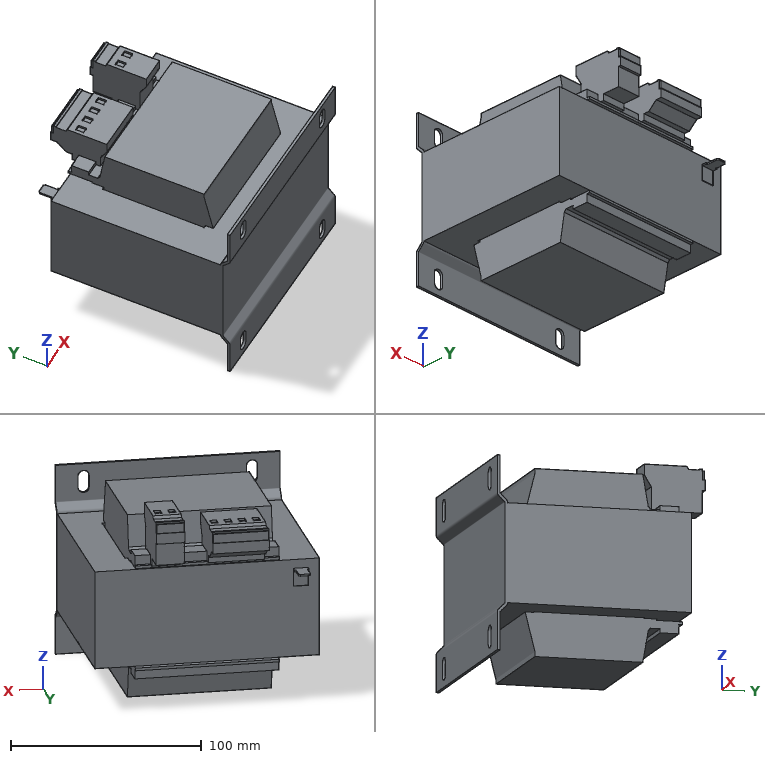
import cadquery as cq
import math


CORE_WIDTH = 120.0
CORE_LENGTH = 100.0
CORE_HEIGHT = 53.4
LEG_WIDTH = 20.0
CORE_TOP = CORE_HEIGHT / 2

PLATE_THICKNESS = 1.6
BEND_INNER_RADIUS = 0.5
FLANGE_SETBACK = 4.1
FLANGE_REACH = 52.0
SLOT_LENGTH = 12.0
SLOT_WIDTH = 6.0
SLOT_X = 45.0
SLOT_Z = 42.2

CORE_FRONT = FLANGE_SETBACK + PLATE_THICKNESS
CORE_BACK = CORE_FRONT + CORE_LENGTH
WINDOW_FRONT = CORE_FRONT + LEG_WIDTH
WINDOW_BACK = CORE_BACK - LEG_WIDTH

COIL_WIDTH = 76.9
COIL_TOP = 50.2
COIL_FRONT_LIP = 2.4
COIL_TOP_FRONT = 26.5
COIL_TOP_BACK = 85.0
COIL_FOOT_FRONT = 21.1
SADDLE_BACK_CORNER = 88.0
SADDLE_FRONT = 89.3
SADDLE_Z = 31.8
SADDLE_CHAMFER_TOP = 33.4
RAIL_FRONT = 94.5
RAIL_BACK = 104.7
RAIL_TOP = 34.0
LIP_BACK = 106.6
LIP_TOP = 28.9
LIP_BOTTOM = 27.4
LIP_ROOT = 92.7

POLE_WIDTH = 15.0
TERMINAL_FRONT = 88.2
TERMINAL_BACK = 119.7
TERMINAL_TOP = COIL_TOP
RAISED_BY = 7.3
MARKER_STEP_START = 111.4
MARKER_STEP_END = 112.3
MARKER_DEPTH = 1.6
RIDGE_FRONT = 118.1
RIDGE_DEPTH = 1.1
LATCH_BACK = 121.3
LATCH_TOP = 43.4
LATCH_BOTTOM = 37.7
STRIP_BACK = 120.8
STRIP_TOP = 48.3
STRIP_INSET = 0.2
THROAT_Z = 44.4
TERMINAL_NECK_FRONT = 92.0
NECK_TOP = 38.2
UNDERCUT_START = 117.7
UNDERCUT_END = 112.1
TERMINAL_FLOOR = 32.9
FOOT_BACK = 108.7
FOOT_BOTTOM = LIP_TOP
ENTRY_PITCH = POLE_WIDTH / 2
ENTRY_WIDTH = 3.4
ENTRY_LENGTH = 4.7
ENTRY_Y = 105.3
ENTRY_DEPTH = 1.2

TAB_X = -50.0
TAB_TOP = 21.8
TAB_THICKNESS = 1.0
TAB_WIDTH = 6.3
TAB_TIP = 116.6
TAB_CHAMFER = 0.8
TAB_BASE_WIDTH = 7.9
TAB_BASE_BACK = 108.7
TAB_PAD_BOTTOM = 12.1
TAB_PAD_THICKNESS = 0.5


def block(x_range, y_range, z_range):
    """Box spanning the given ranges."""
    (x0, x1), (y0, y1), (z0, z1) = x_range, y_range, z_range
    return cq.Workplane("XY").box(x1 - x0, y1 - y0, z1 - z0, centered=False).translate((x0, y0, z0))


def extrude_along_x(profile, x_start, x_end):
    """Extrude a closed YZ profile from x_start to x_end."""
    return profile.extrude(x_end - x_start).translate((x_start, 0, 0))


def across_core(y_range, z_range, width):
    """Box centred on the middle plane."""
    return block((-width / 2, width / 2), y_range, z_range)


def make_core():
    core = across_core((CORE_FRONT, CORE_BACK), (-CORE_TOP, CORE_TOP), CORE_WIDTH)
    window_width = CORE_WIDTH - 2 * LEG_WIDTH
    window = across_core((WINDOW_FRONT, WINDOW_BACK), (-CORE_TOP, CORE_TOP), window_width)
    coil = across_core((WINDOW_FRONT, WINDOW_BACK), (-CORE_TOP, CORE_TOP), COIL_WIDTH)
    return core.cut(window).union(coil)


def make_flange():
    """Upper half of the plate: web, 45 degree jog and flange, with rounded bends."""
    half_bend_tangent = math.tan(math.radians(45 / 2))
    corner_shift = PLATE_THICKNESS * half_bend_tangent
    web_front_corner = (FLANGE_SETBACK, CORE_TOP + BEND_INNER_RADIUS * half_bend_tangent)
    flange_front_corner = (0, web_front_corner[1] + FLANGE_SETBACK)
    web_back_corner = (CORE_FRONT, web_front_corner[1] + corner_shift)
    flange_back_corner = (PLATE_THICKNESS, flange_front_corner[1] + corner_shift)
    profile = cq.Workplane("YZ").polyline(
        [
            (FLANGE_SETBACK, 0),
            web_front_corner,
            flange_front_corner,
            (0, FLANGE_REACH),
            (PLATE_THICKNESS, FLANGE_REACH),
            flange_back_corner,
            web_back_corner,
            (CORE_FRONT, 0),
        ]
    ).close()
    flange = extrude_along_x(profile, -CORE_WIDTH / 2, CORE_WIDTH / 2)
    bend_outer_radius = BEND_INNER_RADIUS + PLATE_THICKNESS
    for (y, z), radius in [
        (web_front_corner, BEND_INNER_RADIUS),
        (flange_back_corner, BEND_INNER_RADIUS),
        (flange_front_corner, bend_outer_radius),
        (web_back_corner, bend_outer_radius),
    ]:
        flange = flange.edges(cq.selectors.NearestToPointSelector((0, y, z))).fillet(radius)
    slots = (
        cq.Workplane("XZ")
        .pushPoints([(-SLOT_X, SLOT_Z), (SLOT_X, SLOT_Z)])
        .slot2D(SLOT_LENGTH, SLOT_WIDTH, 90)
        .extrude(-PLATE_THICKNESS)
    )
    return flange.cut(slots)


def make_coil_head():
    """Part of the coil and bobbin that stands above the core."""
    profile = cq.Workplane("YZ").polyline(
        [
            (COIL_FOOT_FRONT, CORE_TOP),
            (COIL_TOP_FRONT, COIL_TOP - COIL_FRONT_LIP),
            (COIL_TOP_FRONT, COIL_TOP),
            (COIL_TOP_BACK, COIL_TOP),
            (SADDLE_BACK_CORNER, SADDLE_CHAMFER_TOP),
            (SADDLE_FRONT, SADDLE_Z),
            (RAIL_FRONT, SADDLE_Z),
            (RAIL_FRONT, RAIL_TOP),
            (RAIL_BACK, RAIL_TOP),
            (RAIL_BACK, LIP_TOP),
            (LIP_BACK, LIP_TOP),
            (LIP_BACK, LIP_BOTTOM),
            (LIP_ROOT, LIP_BOTTOM),
            (LIP_ROOT, CORE_TOP),
        ]
    ).close()
    return extrude_along_x(profile, -COIL_WIDTH / 2, COIL_WIDTH / 2)


def make_terminal_block(x_start, poles, raised_by, under_latch):
    """Block with two wire entries per pole; under_latch outlines its back below the latch."""
    x_end = x_start + poles * POLE_WIDTH
    top = TERMINAL_TOP + raised_by
    profile = cq.Workplane("YZ").polyline(
        [
            (TERMINAL_FRONT, top),
            (MARKER_STEP_START, top),
            (MARKER_STEP_END, top - MARKER_DEPTH),
            (RIDGE_FRONT, top - MARKER_DEPTH),
            (RIDGE_FRONT, top - RIDGE_DEPTH),
            (TERMINAL_BACK, top - RIDGE_DEPTH),
            (TERMINAL_BACK, LATCH_TOP + raised_by),
            (LATCH_BACK, LATCH_TOP + raised_by),
            (LATCH_BACK, LATCH_BOTTOM + raised_by),
            *under_latch,
            (FOOT_BACK, TERMINAL_FLOOR),
            (FOOT_BACK, FOOT_BOTTOM),
            (TERMINAL_NECK_FRONT, FOOT_BOTTOM),
            (TERMINAL_NECK_FRONT, NECK_TOP + raised_by),
            (TERMINAL_FRONT, THROAT_Z + raised_by),
        ]
    ).close()
    body = extrude_along_x(profile, x_start, x_end)
    strip = block(
        (x_start + STRIP_INSET, x_end - STRIP_INSET),
        (TERMINAL_BACK, STRIP_BACK),
        (LATCH_TOP + raised_by, STRIP_TOP + raised_by),
    )
    body = body.union(strip)
    for entry in range(2 * poles):
        entry_x = x_start + (entry + 0.5) * ENTRY_PITCH
        body = body.cut(
            block(
                (entry_x - ENTRY_WIDTH / 2, entry_x + ENTRY_WIDTH / 2),
                (ENTRY_Y - ENTRY_LENGTH / 2, ENTRY_Y + ENTRY_LENGTH / 2),
                (top - ENTRY_DEPTH, top),
            )
        )
    return body


def make_terminals():
    undercut = [
        (UNDERCUT_START, LATCH_BOTTOM),
        (UNDERCUT_END, TERMINAL_FLOOR),
    ]
    straight_back = [
        (TERMINAL_BACK, LATCH_BOTTOM + RAISED_BY),
        (TERMINAL_BACK, TERMINAL_FLOOR),
    ]
    pair = make_terminal_block(-2 * POLE_WIDTH, 2, 0, undercut)
    single = make_terminal_block(POLE_WIDTH, 1, RAISED_BY, straight_back)
    return pair.union(single)


def make_earth_tab():
    def tab_part(width, y_end, z_bottom):
        return block((TAB_X - width / 2, TAB_X + width / 2), (CORE_BACK, y_end), (z_bottom, TAB_TOP))

    blade_bottom = TAB_TOP - TAB_THICKNESS
    blade = tab_part(TAB_WIDTH, TAB_TIP, blade_bottom).edges("|Z and >Y").chamfer(TAB_CHAMFER)
    base = tab_part(TAB_BASE_WIDTH, TAB_BASE_BACK, blade_bottom)
    pad = tab_part(TAB_BASE_WIDTH, CORE_BACK + TAB_PAD_THICKNESS, TAB_PAD_BOTTOM)
    return blade.union(base).union(pad)


result = make_core()
for upper_half in (make_flange(), make_coil_head()):
    result = result.union(upper_half).union(upper_half.mirror("XY"))
result = result.union(make_terminals()).union(make_earth_tab())